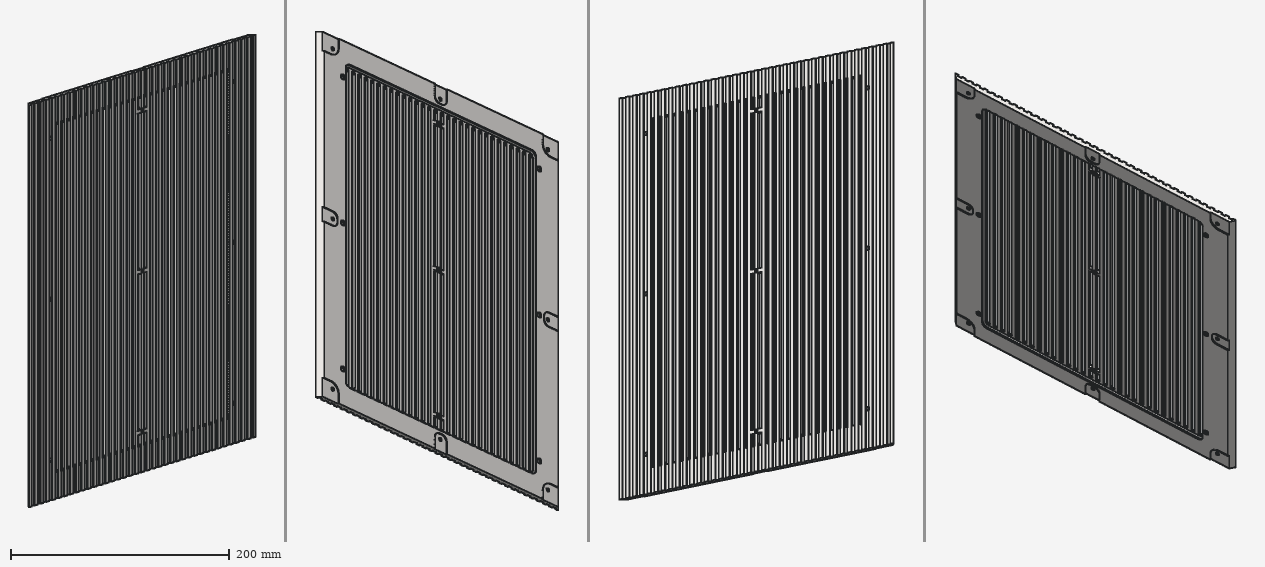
import cadquery as cq
THICKNESS = 6.0
WIDTH = 307.0
HEIGHT = 385.0
BEVEL = 5.5
EDGE_CHAMFER = THICKNESS - BEVEL

GROOVE_PITCH = 8.0
GROOVE_WIDTH = 4.0
GROOVE_DEPTH = 1.3
GROOVE_COUNT = 38
SLOT_COUNT = 30
SLOT_LENGTH = 335.0

WINDOW_WIDTH = 241.0
WINDOW_HEIGHT = 341.0
WINDOW_DEPTH = 3.0
WINDOW_CORNER_RADIUS = 6.0
WINDOW_FOOT_CHAMFER = 1.5

SCREW_COLUMN_Y = 124.0
SCREW_ROW_Z = 154.0
SCREW_ROWS = (-SCREW_ROW_Z, 0, SCREW_ROW_Z)
SCREW_DIAMETER = 3.5
SCREW_HEAD_DIAMETER = 5.5
COUNTERSINK_TAPER = 45

BRIDGE_WIDTH = 1.5 * GROOVE_PITCH
BRIDGE_HEIGHT = 4.0

PIN_Y = 136.0
PIN_Z = 179.5
PIN_DIAMETER = 3.5
PIN_HOLE_DEPTH = 3.0
SEAT_DEPTH = 1.0
SEAT_WIDTH = 15.0
SEAT_END_MARGIN = 5.5
SEAT_CORNER_RADIUS = 6.0
CORNER_SEAT_MARGIN = 7.0
CORNER_SEAT_RADIUS = 10.0


def panel():
    """Plate with bevelled long edges."""
    half = WIDTH / 2
    return (
        cq.Workplane("XY", origin=(0, 0, -HEIGHT / 2))
        .moveTo(0, -half + BEVEL)
        .lineTo(BEVEL, -half)
        .lineTo(THICKNESS, -half + EDGE_CHAMFER)
        .lineTo(THICKNESS, half - EDGE_CHAMFER)
        .lineTo(BEVEL, half)
        .lineTo(0, half - BEVEL)
        .close()
        .extrude(HEIGHT)
    )


def bridges():
    """Blocks across the two middle slots, kept clear of the groove and slot cuts."""
    return (
        cq.Workplane("YZ")
        .pushPoints([(0, z) for z in SCREW_ROWS])
        .rect(BRIDGE_WIDTH, BRIDGE_HEIGHT)
        .extrude(THICKNESS)
    )


def row_centres(count):
    """Centres of a row of grooves or slots, spread evenly about the middle of the panel."""
    return [((index - (count - 1) / 2) * GROOVE_PITCH, 0) for index in range(count)]


def grooves():
    """Square grooves that run the full height of the +X face."""
    return (
        cq.Workplane("YZ", origin=(THICKNESS - GROOVE_DEPTH, 0, 0))
        .pushPoints(row_centres(GROOVE_COUNT))
        .rect(GROOVE_WIDTH, HEIGHT)
        .extrude(GROOVE_DEPTH)
    )


def slots():
    """Round-ended slots through the window floor, in line with the grooves."""
    return (
        cq.Workplane("YZ")
        .pushPoints(row_centres(SLOT_COUNT))
        .slot2D(SLOT_LENGTH, GROOVE_WIDTH, 90)
        .extrude(THICKNESS)
    )


def window():
    """Round-cornered pocket whose wall slopes in where it meets the floor."""
    return (
        cq.Workplane("YZ")
        .rect(WINDOW_WIDTH, WINDOW_HEIGHT)
        .extrude(WINDOW_DEPTH)
        .edges("|X")
        .fillet(WINDOW_CORNER_RADIUS)
        .faces(">X")
        .chamfer(WINDOW_FOOT_CHAMFER)
    )


def screw_hole(y, z, head_x):
    """Through hole with a countersink that opens toward -X at head_x."""
    hole = cq.Workplane("YZ").center(y, z).circle(SCREW_DIAMETER / 2).extrude(THICKNESS)
    countersink_depth = (SCREW_HEAD_DIAMETER - SCREW_DIAMETER) / 2
    countersink = (
        cq.Workplane("YZ", origin=(head_x, 0, 0))
        .center(y, z)
        .circle(SCREW_HEAD_DIAMETER / 2)
        .extrude(countersink_depth, taper=COUNTERSINK_TAPER)
    )
    return hole.union(countersink)


def seat(y_range, z_range, rounded_edges, radius, pin_centre):
    """Shallow recess with rounded inner corners and a blind pin hole."""
    y_min, y_max = y_range
    z_min, z_max = z_range
    recess = (
        cq.Workplane("YZ")
        .center((y_min + y_max) / 2, (z_min + z_max) / 2)
        .rect(y_max - y_min, z_max - z_min)
        .extrude(SEAT_DEPTH)
        .edges(rounded_edges)
        .fillet(radius)
    )
    pin_hole = cq.Workplane("YZ").center(*pin_centre).circle(PIN_DIAMETER / 2).extrude(PIN_HOLE_DEPTH)
    return recess.union(pin_hole)


def seats():
    """Eight rim seats: one at each corner and one at the middle of each side."""
    middle = (-SEAT_WIDTH / 2, SEAT_WIDTH / 2)
    corner_seat = seat(
        (PIN_Y - CORNER_SEAT_MARGIN, WIDTH / 2),
        (PIN_Z - CORNER_SEAT_MARGIN, HEIGHT / 2),
        "|X and <Y and <Z",
        CORNER_SEAT_RADIUS,
        (PIN_Y, PIN_Z),
    )
    side_seat = seat(
        (PIN_Y - SEAT_END_MARGIN, WIDTH / 2), middle, "|X and <Y", SEAT_CORNER_RADIUS, (PIN_Y, 0)
    )
    top_seat = seat(
        middle, (PIN_Z - SEAT_END_MARGIN, HEIGHT / 2), "|X and <Z", SEAT_CORNER_RADIUS, (0, PIN_Z)
    )
    upper_corners = corner_seat.union(corner_seat.mirror("XZ"))
    return (
        upper_corners.union(upper_corners.mirror("XY"))
        .union(side_seat)
        .union(side_seat.mirror("XZ"))
        .union(top_seat)
        .union(top_seat.mirror("XY"))
    )


ties = bridges()
result = panel().cut(grooves().cut(ties)).cut(window()).cut(slots().cut(ties)).cut(seats())

for row_z in SCREW_ROWS:
    result = result.cut(screw_hole(0, row_z, WINDOW_DEPTH))
    for column_y in (-SCREW_COLUMN_Y, SCREW_COLUMN_Y):
        result = result.cut(screw_hole(column_y, row_z, 0))